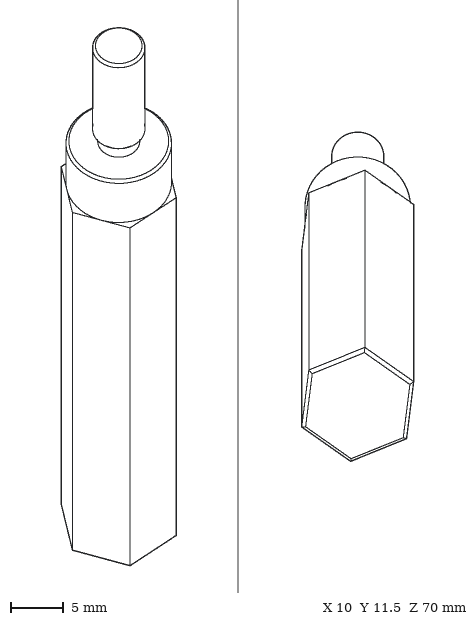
import cadquery as cq
import math

total_height = 70.0
across_flats = 10.0
across_corners = across_flats / math.cos(math.radians(30))

stud_height = 14.0
stud_diameter = 5.0
stud_tip_chamfer = 0.3
neck_diameter = 4.0
neck_height = 1.25
neck_taper_height = 0.55

collar_height = 6.0
collar_diameter = across_flats
collar_chamfer = 0.3

base_chamfer = 0.35

collar_top = total_height - stud_height
hex_height = collar_top - collar_height


def make_hex_body():
    """Hexagon with flats facing +X and -X and its lower rim chamfered."""
    return (
        cq.Workplane("XY")
        .polygon(6, across_corners)
        .extrude(hex_height)
        .rotate((0, 0, 0), (0, 0, 1), 30)
        .faces("<Z")
        .chamfer(base_chamfer)
    )


def make_collar_and_stud():
    """Turned end of the part, from the top of the hexagon to the stud tip."""
    collar_radius = collar_diameter / 2
    neck_radius = neck_diameter / 2
    stud_radius = stud_diameter / 2
    neck_top = collar_top + neck_height
    return (
        cq.Workplane("XZ")
        .polyline([
            (0, hex_height),
            (collar_radius, hex_height),
            (collar_radius, collar_top - collar_chamfer),
            (collar_radius - collar_chamfer, collar_top),
            (neck_radius, collar_top),
            (neck_radius, neck_top),
            (stud_radius, neck_top + neck_taper_height),
            (stud_radius, total_height - stud_tip_chamfer),
            (stud_radius - stud_tip_chamfer, total_height),
            (0, total_height),
        ])
        .close()
        .revolve(360, (0, 0, 0), (0, 1, 0))
    )


result = make_hex_body().union(make_collar_and_stud())